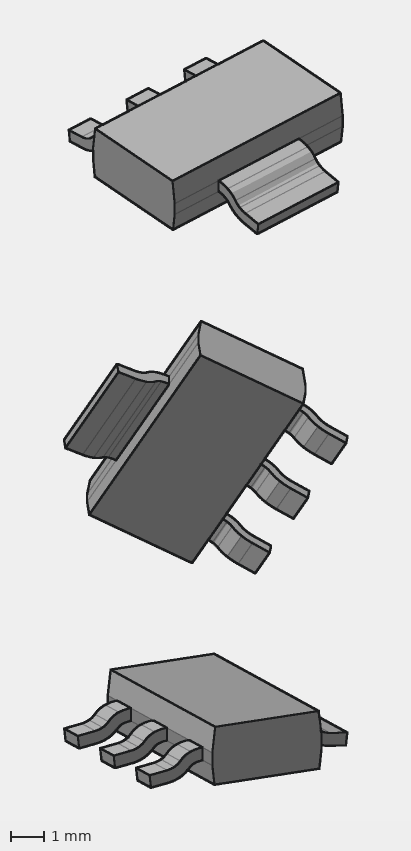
import cadquery as cq
import math

overall_span = 7.3
package_height = 1.81
body_width = 3.7
body_length = 6.7
draft_angle = 7.0

terminal_thickness = 0.4
lead_width = 0.875
lead_pitch = 2.3
lead_count = 3
tab_width = 3.2

bends = [
    (1.2, 20.0),
    (0.825, 50.0),
    (0.6, 26.0),
    (0.79, 7.0),
]
foot_slope = bends[-1][1]


def below(point, slope):
    """Point on the lower surface, square across the terminal from an upper surface point."""
    angle = math.radians(slope)
    return (
        point[0] - terminal_thickness * math.sin(angle),
        point[1] - terminal_thickness * math.cos(angle),
    )


def bend_point(start, radius, start_slope, slope):
    """Upper surface point reached by turning from start_slope to slope."""
    turn_radius = math.copysign(radius, slope - start_slope)
    start_angle = math.radians(start_slope)
    angle = math.radians(slope)
    return (
        start[0] + turn_radius * (math.sin(angle) - math.sin(start_angle)),
        start[1] - turn_radius * (math.cos(start_angle) - math.cos(angle)),
    )


def upper_surface():
    """Upper surface points from the root at (0, 0), each paired with its slope.

    Points alternate between bend ends and bend middles; the last one is the foot tip.
    """
    stations = [((0.0, 0.0), 0.0)]
    for radius, end_slope in bends:
        start, start_slope = stations[-1]
        middle_slope = (start_slope + end_slope) / 2
        for slope in (middle_slope, end_slope):
            stations.append((bend_point(start, radius, start_slope, slope), slope))
    foot_start = stations[-1][0]
    foot_run = (overall_span - body_width) / 2 - foot_start[0]
    foot_drop = foot_run * math.tan(math.radians(foot_slope))
    stations.append(((foot_start[0] + foot_run, foot_start[1] - foot_drop), foot_slope))
    return stations


upper_stations = upper_surface()
upper_points = [point for point, slope in upper_stations]
lower_points = [below(point, slope) for point, slope in upper_stations]

band_top = -lower_points[-1][1]
band_bottom = band_top - terminal_thickness


def make_body():
    """Body with both long sides drafted inward above and below a vertical band."""
    half_width = body_width / 2
    draft = math.tan(math.radians(draft_angle))
    half_bottom = half_width - band_bottom * draft
    half_top = half_width - (package_height - band_top) * draft
    right_side = [
        (half_bottom, 0),
        (half_width, band_bottom),
        (half_width, band_top),
        (half_top, package_height),
    ]
    left_side = [(-x, z) for x, z in reversed(right_side)]
    outline = cq.Workplane("XZ").polyline(right_side + left_side).close()
    return outline.extrude(body_length / 2, both=True)


def make_terminal(width):
    """Formed strip leaving the +X side of the body, centred on Y = 0."""
    profile = cq.Workplane("XZ", origin=(body_width / 2, 0, band_top)).moveTo(*upper_points[0])
    bend_end_indices = range(2, len(upper_points) - 1, 2)
    for end in bend_end_indices:
        profile = profile.threePointArc(upper_points[end - 1], upper_points[end])
    profile = profile.lineTo(*upper_points[-1]).lineTo(*lower_points[-1])
    profile = profile.lineTo(*lower_points[-2])
    for end in reversed(bend_end_indices):
        profile = profile.threePointArc(lower_points[end - 1], lower_points[end - 2])
    return profile.close().extrude(width / 2, both=True)


def make_lead(y_position):
    """Narrow terminal on the -X side."""
    lead = make_terminal(lead_width).rotate((0, 0, 0), (0, 0, 1), 180)
    return lead.translate((0, y_position, 0))


body = make_body()
tab = make_terminal(tab_width)
leads = []
for index in range(lead_count):
    lead_y = (index - (lead_count - 1) / 2) * lead_pitch
    leads.append(make_lead(lead_y))

result = cq.Compound.makeCompound([body.val(), tab.val(), *[lead.val() for lead in leads]])